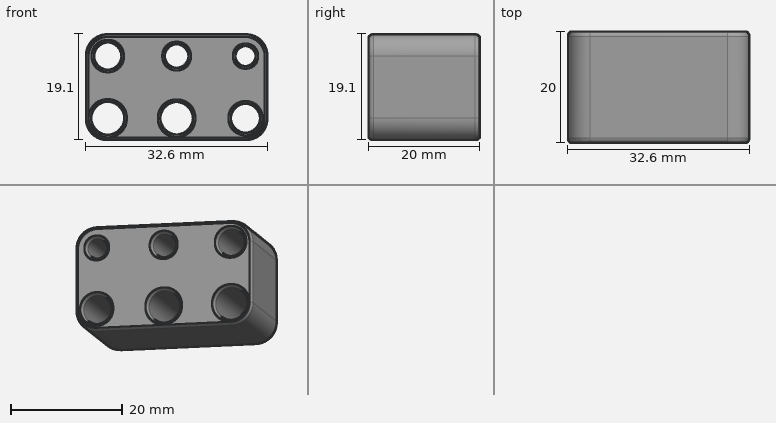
import cadquery as cq
import math

length = 32.6
depth = 20.0
height = 19.05
corner_radius = 3.95

rim_chamfer = 0.5
rim_blend_radius = 1.0

upper_diameters = [4.85, 4.2, 3.6]
lower_diameters = [5.9, 5.8, 5.2]
column_x = length / 2 - corner_radius
row_z = height / 2 - corner_radius

blend_setback = rim_blend_radius * math.tan(math.radians(22.5))
blend_start = rim_chamfer + blend_setback
blend_inset = blend_setback * math.sin(math.radians(45))
blend_end = rim_chamfer - blend_inset

half_turn = math.radians(22.5)
mid_inset = rim_blend_radius * (1 - math.cos(half_turn))
mid_depth = blend_start - rim_blend_radius * math.sin(half_turn)


def make_block():
    """Rounded block; its outer rims are chamfered, then blended into the walls."""
    block = cq.Workplane("XZ").rect(length, height).extrude(depth / 2, both=True)
    block = block.edges("|Y").fillet(corner_radius)
    block = block.faces("<Y or >Y").chamfer(rim_chamfer)
    wall_y = depth / 2 - rim_chamfer
    tolerance = 0.003
    for y in (-wall_y, wall_y):
        rim = cq.selectors.BoxSelector(
            (-length, y - tolerance, -height),
            (length, y + tolerance, height),
        )
        block = block.edges(rim).fillet(rim_blend_radius)
    return block


def make_hole(x, z, diameter):
    """Solid of a through hole that flares at both ends, turned about the Y direction."""
    radius = diameter / 2
    end = depth / 2
    profile = (
        cq.Workplane("XY")
        .moveTo(0, -end)
        .lineTo(radius + rim_chamfer, -end)
        .lineTo(radius + blend_inset, -end + blend_end)
        .threePointArc((radius + mid_inset, -end + mid_depth), (radius, -end + blend_start))
        .lineTo(radius, end - blend_start)
        .threePointArc((radius + mid_inset, end - mid_depth), (radius + blend_inset, end - blend_end))
        .lineTo(radius + rim_chamfer, end)
        .lineTo(0, end)
        .close()
    )
    return profile.revolve(360, (0, 0, 0), (0, 1, 0)).translate((x, 0, z))


result = make_block()
for z, diameters in ((row_z, upper_diameters), (-row_z, lower_diameters)):
    for x, diameter in zip((-column_x, 0, column_x), diameters):
        result = result.cut(make_hole(x, z, diameter))